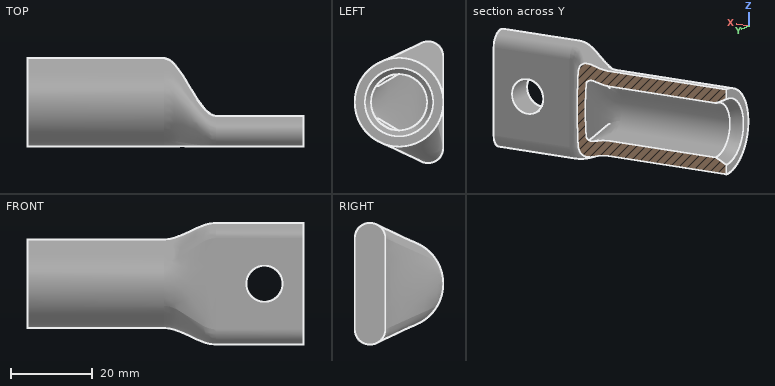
import cadquery as cq
import math

LENGTH = 67.5
BARREL_DIAMETER = 21.65
BARREL_LENGTH = 33.4
BORE_DIAMETER = 13.7
BORE_MOUTH_DIAMETER = 16.65
MOUTH_CHAMFER_DEPTH = 3.0

PALM_START = 46.0
PALM_HEIGHT = 29.75
PALM_THICKNESS = 7.5
HOLE_DIAMETER = 8.8
HOLE_X = 57.9

SLIT_THICKNESS = 0.15
CORNER_ANGLE = 30.0
TRANSITION_STEPS = 6

BARREL_RADIUS = BARREL_DIAMETER / 2
BORE_RADIUS = BORE_DIAMETER / 2
PALM_CENTER_Y = (PALM_THICKNESS - BARREL_DIAMETER) / 2
PALM_FLAT_HEIGHT = PALM_HEIGHT - PALM_THICKNESS


def circle_points(radius):
    """Eight (y, z) points around the tube: four corners and the middles of the arcs between."""
    angles = [-CORNER_ANGLE, 0, CORNER_ANGLE, 90, 180 - CORNER_ANGLE, 180, 180 + CORNER_ANGLE, 270]
    return [
        (-radius * math.cos(math.radians(a)), radius * math.sin(math.radians(a)))
        for a in angles
    ]


def slot_points(thickness):
    """The matching eight points on a slot with round ends, centred in the palm."""
    half = thickness / 2
    front = PALM_CENTER_Y - half
    back = PALM_CENTER_Y + half
    corner_z = PALM_FLAT_HEIGHT / 2
    tip_z = corner_z + half
    return [
        (front, -corner_z), (front, 0), (front, corner_z), (PALM_CENTER_Y, tip_z),
        (back, corner_z), (back, 0), (back, -corner_z), (PALM_CENTER_Y, -tip_z),
    ]


def section_wire(x, points, flat_sides):
    """Closed outline at x; the front and back sides are straight when flat_sides is set."""
    corners = [cq.Vector(x, y, z) for y, z in points]
    edges = []
    for start in range(0, len(corners), 2):
        first, middle = corners[start], corners[start + 1]
        last = corners[(start + 2) % len(corners)]
        if flat_sides and start % 4 == 0:
            edges.append(cq.Edge.makeLine(first, last))
        else:
            edges.append(cq.Edge.makeThreePointArc(first, middle, last))
    return cq.Wire.assembleEdges(edges)


def transition(radius, thickness):
    """Smooth loft from the circle to the slot, levelling out at both ends."""
    start_points = circle_points(radius)
    end_points = slot_points(thickness)
    wires = []
    for step in range(TRANSITION_STEPS + 1):
        t = step / TRANSITION_STEPS
        blend = t * t * (3 - 2 * t)
        points = [
            (y0 + blend * (y1 - y0), z0 + blend * (z1 - z0))
            for (y0, z0), (y1, z1) in zip(start_points, end_points)
        ]
        x = BARREL_LENGTH + t * (PALM_START - BARREL_LENGTH)
        wires.append(section_wire(x, points, step == TRANSITION_STEPS))
    return cq.Workplane(obj=cq.Solid.makeLoft(wires))


def make_palm():
    palm = (
        cq.Workplane("YZ", origin=(PALM_START, PALM_CENTER_Y, 0))
        .slot2D(PALM_HEIGHT, PALM_THICKNESS, 90)
        .extrude(LENGTH - PALM_START)
    )
    hole = (
        cq.Workplane("XZ", origin=(HOLE_X, 0, 0))
        .circle(HOLE_DIAMETER / 2)
        .extrude(BARREL_DIAMETER, both=True)
    )
    return palm.cut(hole)


def make_bore():
    """Straight bore with a conical lead-in at the open end."""
    return (
        cq.Workplane("XY")
        .polyline([
            (0, 0),
            (0, BORE_MOUTH_DIAMETER / 2),
            (MOUTH_CHAMFER_DEPTH, BORE_RADIUS),
            (BARREL_LENGTH, BORE_RADIUS),
            (BARREL_LENGTH, 0),
        ])
        .close()
        .revolve(360, (0, 0, 0), (1, 0, 0))
    )


barrel = cq.Workplane("YZ").circle(BARREL_RADIUS).extrude(BARREL_LENGTH)
body = barrel.union(transition(BARREL_RADIUS, PALM_THICKNESS)).union(make_palm())
result = body.cut(make_bore()).cut(transition(BORE_RADIUS, SLIT_THICKNESS))